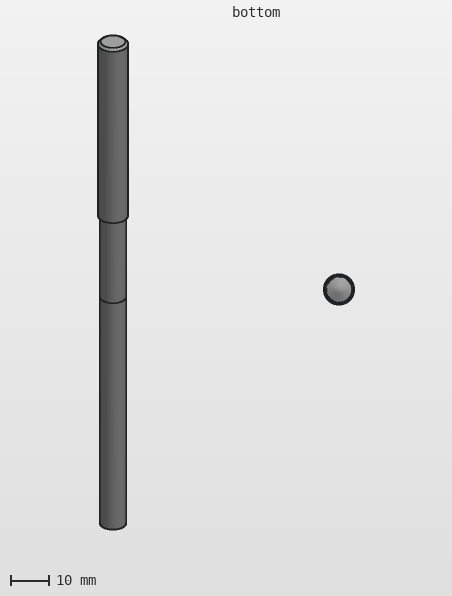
import cadquery as cq
import math

total_length = 148.3
shank_diameter = 8.0
shank_length = 53.1
shank_chamfer = 0.7
drill_diameter = 7.0
flute_length = 70.4
point_angle = 140.0

shank_radius = shank_diameter / 2
drill_radius = drill_diameter / 2
point_height = drill_radius / math.tan(math.radians(point_angle / 2))
shank_start = total_length - shank_length


def revolve_profile(points):
    """Turn a closed (radius, height) outline about the Z axis."""
    return cq.Workplane("XZ").polyline(points).close().revolve(360, (0, 0), (0, 1))


def make_cutting_body():
    """Fluted section, as a plain cylinder with a conical point."""
    return revolve_profile([
        (0, 0),
        (drill_radius, point_height),
        (drill_radius, flute_length),
        (0, flute_length),
    ])


def make_shank():
    """Neck and thicker clamping shank with a chamfered upper end."""
    return revolve_profile([
        (0, flute_length),
        (drill_radius, flute_length),
        (drill_radius, shank_start),
        (shank_radius, shank_start),
        (shank_radius, total_length - shank_chamfer),
        (shank_radius - shank_chamfer, total_length),
        (0, total_length),
    ])


cutting_body = make_cutting_body()
shank = make_shank()

result = cq.Compound.makeCompound([cutting_body.val(), shank.val()])